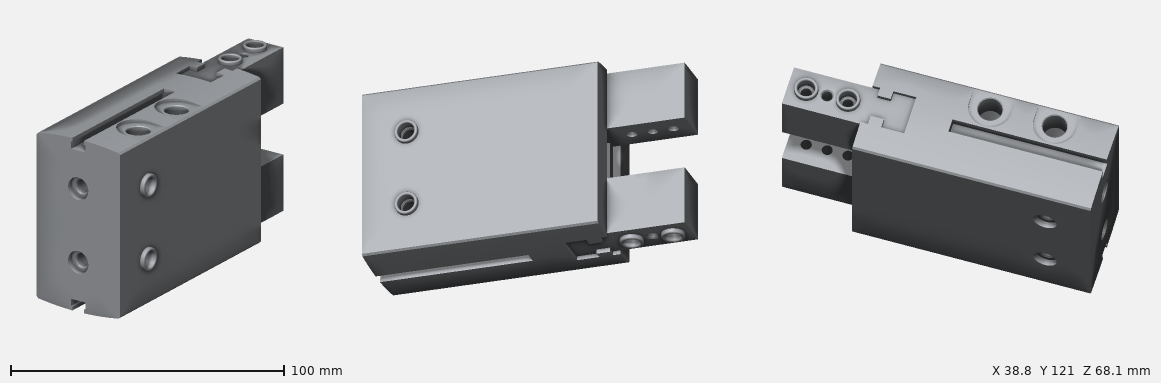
import cadquery as cq
import math


total_length = 121.0
housing_length = 91.0
housing_width = 37.0
housing_height = 68.1
edge_height = 65.3
corner_bevel = 0.7
half_width = housing_width / 2
half_height = housing_height / 2
crown_end_x = half_width - corner_bevel
crown_end_z = edge_height / 2
side_end_z = crown_end_z - corner_bevel

jaw_width = 15.6
jaw_neck_width = 8.7
guide_depth = 16.7
lip_front_depth = 2.9
lip_rear_depth = 8.0
jaw_gap = 20.1

sleeve_diameter = 9.0
sleeve_bore = 6.4
sleeve_protrusion = 1.8
sleeve_rounding = 0.6
recess_depth = 2.4
sleeve_length = recess_depth + sleeve_protrusion

jaw_outer_z = half_height - sleeve_protrusion
jaw_inner_z = jaw_gap / 2
jaw_height = jaw_outer_z - jaw_inner_z
jaw_screw_diameter = 4.1
jaw_pin_diameter = 4.0
jaw_pin_mouth_diameter = 5.0
jaw_hole_pitch = 8.0
outer_hole_y = total_length - 7.0
pin_hole_y = outer_hole_y - jaw_hole_pitch
inner_hole_y = pin_hole_y - jaw_hole_pitch
jaw_sleeve_ys = (outer_hole_y, inner_hole_y)

mount_diameter = 5.0
mount_mouth_diameter = 6.0
mount_z = 14.5
side_mount_y = 17.4
rear_mount_depth = side_mount_y

groove_length = 58.9
groove_neck_width = 5.2
groove_width = 6.5
groove_depth = 4.5
groove_lip = 1.6

port_diameter = 9.0
port_mouth_diameter = 9.7
port_depth = 9.7
port_tip_angle = 118.0
port_x = 11.3
port_ys = (22.4, 47.1)
pad_radius = 8.1

SIDES = (-1, 1)


def box(width, y_start, y_end, z_start, z_end):
    """Box centred on X = 0."""
    size_y = y_end - y_start
    size_z = z_end - z_start
    return cq.Workplane("XY").box(width, size_y, size_z).translate(
        (0, y_start + size_y / 2, z_start + size_z / 2)
    )


def round_hole(mouth, direction, diameter, depth):
    """Tool for a plain hole that runs from its mouth along a direction."""
    return cq.Solid.makeCylinder(diameter / 2, depth, cq.Vector(mouth), cq.Vector(direction))


def chamfered_hole(mouth, direction, diameter, mouth_diameter, depth):
    """Tool for a hole with a 45 degree chamfer at its mouth."""
    chamfer_depth = (mouth_diameter - diameter) / 2
    cone = cq.Solid.makeCone(
        mouth_diameter / 2, diameter / 2, chamfer_depth, cq.Vector(mouth), cq.Vector(direction)
    )
    return round_hole(mouth, direction, diameter, depth).fuse(cone)


def recessed_mount_hole(mouth, direction, depth):
    """Tool for a mounting hole below a sleeve recess."""
    recess = round_hole(mouth, direction, sleeve_diameter, recess_depth)
    floor = cq.Vector(mouth) + cq.Vector(direction) * recess_depth
    hole = chamfered_hole(
        floor.toTuple(), direction, mount_diameter, mount_mouth_diameter, depth - recess_depth
    )
    return recess.fuse(hole)


def guide_profile(z_start, z_end):
    """T shape of a jaw's root, shared by the guide in the housing."""
    lip_front_y = housing_length - lip_front_depth
    lip_rear_y = housing_length - lip_rear_depth
    floor_y = housing_length - guide_depth
    root = box(jaw_width, floor_y, lip_rear_y, z_start, z_end)
    neck = box(jaw_neck_width, lip_rear_y, lip_front_y, z_start, z_end)
    head = box(jaw_width, lip_front_y, housing_length, z_start, z_end)
    return root.union(neck).union(head)


def housing_block():
    """Block with crowned top and bottom faces and bevelled long corners."""
    return (
        cq.Workplane("XZ")
        .moveTo(half_width, -side_end_z)
        .lineTo(half_width, side_end_z)
        .lineTo(crown_end_x, crown_end_z)
        .threePointArc((0, half_height), (-crown_end_x, crown_end_z))
        .lineTo(-half_width, side_end_z)
        .lineTo(-half_width, -side_end_z)
        .lineTo(-crown_end_x, -crown_end_z)
        .threePointArc((0, -half_height), (crown_end_x, -crown_end_z))
        .close()
        .extrude(-housing_length)
    )


def t_groove(side):
    """Tool for the T-groove in the top (side = 1) or bottom (side = -1) face."""
    neck = box(groove_neck_width, 0, groove_length, half_height - groove_lip, half_height)
    channel = box(
        groove_width, 0, groove_length, half_height - groove_depth, half_height - groove_lip
    )
    groove = neck.union(channel)
    return groove if side > 0 else groove.mirror("XY")


def port(y):
    """Tool for an air port: a flat pad open to the +X side and a chamfered, drilled blind hole."""
    pad_height = half_height - crown_end_z
    pad = (
        cq.Workplane("XY", origin=(port_x, y, crown_end_z))
        .moveTo(half_width - port_x, -pad_radius)
        .lineTo(0, -pad_radius)
        .threePointArc((-pad_radius, 0), (0, pad_radius))
        .lineTo(half_width - port_x, pad_radius)
        .close()
        .extrude(pad_height)
    )
    down = (0, 0, -1)
    mouth = (port_x, y, crown_end_z)
    bore = chamfered_hole(mouth, down, port_diameter, port_mouth_diameter, port_depth)
    tip_length = port_diameter / 2 / math.tan(math.radians(port_tip_angle / 2))
    tip = cq.Solid.makeCone(
        port_diameter / 2, 0, tip_length, cq.Vector(port_x, y, crown_end_z - port_depth), cq.Vector(down)
    )
    return pad.union(cq.Workplane(bore.fuse(tip)))


def make_housing():
    """Housing with jaw guide, T-grooves, air ports and mounting holes."""
    housing = housing_block().cut(guide_profile(-half_height, half_height))
    for side in SIDES:
        housing = housing.cut(t_groove(side))
        z = side * mount_z
        housing = housing.cut(recessed_mount_hole((0, 0, z), (0, 1, 0), rear_mount_depth))
        for face in SIDES:
            mouth = (face * half_width, side_mount_y, z)
            housing = housing.cut(recessed_mount_hole(mouth, (-face, 0, 0), half_width))
    for y in port_ys:
        housing = housing.cut(port(y))
    return housing


def make_jaw(side):
    """Upper (side = 1) or lower (side = -1) jaw."""
    finger = box(jaw_width, housing_length, total_length, jaw_inner_z, jaw_outer_z)
    jaw = finger.union(guide_profile(jaw_inner_z, jaw_outer_z))
    down = (0, 0, -1)
    for y in jaw_sleeve_ys:
        mouth = (0, y, jaw_outer_z)
        jaw = jaw.cut(round_hole(mouth, down, sleeve_diameter, recess_depth))
        jaw = jaw.cut(round_hole(mouth, down, jaw_screw_diameter, jaw_height))
    jaw = jaw.cut(
        chamfered_hole(
            (0, pin_hole_y, jaw_outer_z), down, jaw_pin_diameter, jaw_pin_mouth_diameter, jaw_height
        )
    )
    return jaw if side > 0 else jaw.mirror("XY")


def make_sleeve(seat, direction):
    """Centring sleeve standing on its recess floor and pointing along a direction."""
    return (
        cq.Workplane(cq.Plane(origin=seat, normal=direction))
        .circle(sleeve_diameter / 2)
        .circle(sleeve_bore / 2)
        .extrude(sleeve_length)
        .faces(cq.selectors.DirectionMinMaxSelector(cq.Vector(direction)))
        .edges()
        .fillet(sleeve_rounding)
    )


housing = make_housing()
jaws = [make_jaw(side) for side in SIDES]

jaw_sleeves = []
side_sleeves = []
for side in SIDES:
    for y in jaw_sleeve_ys:
        seat = (0, y, side * (jaw_outer_z - recess_depth))
        jaw_sleeves.append(make_sleeve(seat, (0, 0, side)))
    side_seat = (half_width - recess_depth, side_mount_y, side * mount_z)
    side_sleeves.append(make_sleeve(side_seat, (1, 0, 0)))

bodies = [housing, *jaws, *jaw_sleeves, *side_sleeves]
result = cq.Compound.makeCompound([body.val() for body in bodies])